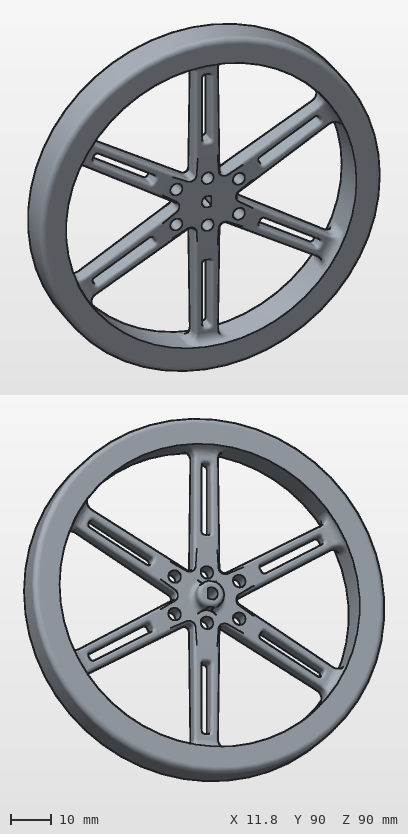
import cadquery as cq
import math

OUTER_RADIUS = 45.0
RIM_INNER_RADIUS = 38.3
RIM_WIDTH = 10.0
TREAD_ROUND = 1.4
MID_X = RIM_WIDTH / 2

SPOKE_COUNT = 6
SPOKE_ANGLE = 360 / SPOKE_COUNT
HUB_FLAT_RADIUS = 12.6
HUB_THICKNESS = 5.1
SPOKE_TIP_RADIUS = 41.4
SPOKE_TIP_THICKNESS = 4.4
SPOKE_ROOT_HALF_WIDTH = 3.3
SPOKE_TIP_HALF_WIDTH = 3.1
EDGE_ROUND = 0.765
CROTCH_ROUND = 1.2
FOOT_ROUND = 2.25

SLOT_START_RADIUS = 16.1
SLOT_END_RADIUS = 34.4
SLOT_START_HALF_WIDTH = 1.2
SLOT_END_HALF_WIDTH = 1.1
SLOT_CORNER_ROUND = 0.7

BOSS_RADIUS = 3.4
BOSS_PROTRUSION = 1.8
BOSS_TOP_ROUND = 1.1
BOSS_BASE_ROUND = 1.4
BORE_RADIUS = 1.5
BORE_FLAT_OFFSET = 1.0

HOLE_DIAMETER = 3.15
SIDE_HOLE_RADIUS = 9.5
VERTICAL_HOLE_RADIUS = 6.4
SCREW_HEAD_CLEARANCE = 3.15

HUB_FACE_X = MID_X - HUB_THICKNESS / 2
SPOKE_TAPER_LENGTH = SPOKE_TIP_RADIUS - HUB_FLAT_RADIUS
FIT_TOLERANCE = 0.01


def point_at(radius, angle):
    """(y, z) point at a radius and an angle in degrees from the +Y axis."""
    radians = math.radians(angle)
    return radius * math.cos(radians), radius * math.sin(radians)


VERTICAL_ANGLES = (90, 270)
SPOKE_ANGLES = [VERTICAL_ANGLES[0] + index * SPOKE_ANGLE for index in range(SPOKE_COUNT)]
VERTICAL_HOLES = [point_at(VERTICAL_HOLE_RADIUS, angle) for angle in VERTICAL_ANGLES]
SIDE_HOLES = [point_at(SIDE_HOLE_RADIUS, angle) for angle in SPOKE_ANGLES if angle not in VERTICAL_ANGLES]


def revolve_about_x(outline):
    """Revolve a closed (x, radius) outline about the wheel axis."""
    return outline.close().revolve(360, (0, 0, 0), (1, 0, 0))


def interpolate_along_spoke(root_value, tip_value, radius):
    """Value at a radius, changing evenly from the hub flat edge to the spoke tip."""
    return root_value + (tip_value - root_value) * (radius - HUB_FLAT_RADIUS) / SPOKE_TAPER_LENGTH


def tapered_bar(start_radius, end_radius, start_half_width, end_half_width):
    """Bar along +Z through the full rim width, seen as a trapezoid along X."""
    corners = [
        (-start_half_width, start_radius),
        (start_half_width, start_radius),
        (end_half_width, end_radius),
        (-end_half_width, end_radius),
    ]
    return cq.Workplane("YZ").polyline(corners).close().extrude(RIM_WIDTH)


def repeat_on_spokes(body):
    """Copies of a body made for the +Z spoke, one on every spoke."""
    copies = cq.Workplane("YZ")
    for index in range(SPOKE_COUNT):
        copies = copies.add(body.rotate((0, 0, 0), (1, 0, 0), index * SPOKE_ANGLE))
    return copies.combine()


def make_rim():
    """Plain ring with both outer edges rounded."""
    ring = cq.Workplane("YZ").circle(OUTER_RADIUS).circle(RIM_INNER_RADIUS).extrude(RIM_WIDTH)
    return ring.edges(cq.selectors.RadiusNthSelector(-1)).fillet(TREAD_ROUND)


def make_spider():
    """Spokes joined at the hub, with slots and rounded edges."""
    centre_half_width = interpolate_along_spoke(SPOKE_ROOT_HALF_WIDTH, SPOKE_TIP_HALF_WIDTH, 0)
    bar = tapered_bar(0, SPOKE_TIP_RADIUS, centre_half_width, SPOKE_TIP_HALF_WIDTH)
    star = repeat_on_spokes(bar)
    crotch_zone = cq.selectors.BoxSelector(
        (-RIM_WIDTH, -HUB_FLAT_RADIUS, -HUB_FLAT_RADIUS),
        (2 * RIM_WIDTH, HUB_FLAT_RADIUS, HUB_FLAT_RADIUS),
    )
    star = star.edges("|X").edges(crotch_zone).fillet(CROTCH_ROUND)

    slot = tapered_bar(SLOT_START_RADIUS, SLOT_END_RADIUS, SLOT_START_HALF_WIDTH, SLOT_END_HALF_WIDTH)
    star = star.cut(repeat_on_spokes(slot.edges("|X").fillet(SLOT_CORNER_ROUND)))

    centre_half_thickness = interpolate_along_spoke(HUB_THICKNESS, SPOKE_TIP_THICKNESS, 0) / 2
    tip_half_thickness = SPOKE_TIP_THICKNESS / 2
    envelope = revolve_about_x(
        cq.Workplane("XY")
        .moveTo(MID_X - centre_half_thickness, 0)
        .lineTo(MID_X - tip_half_thickness, SPOKE_TIP_RADIUS)
        .lineTo(MID_X + tip_half_thickness, SPOKE_TIP_RADIUS)
        .lineTo(MID_X + centre_half_thickness, 0)
    )
    star = star.intersect(envelope)
    star = star.faces("%CONE").edges().fillet(EDGE_ROUND)
    for start_x in (HUB_FACE_X - HUB_THICKNESS, HUB_FACE_X + HUB_THICKNESS):
        excess = cq.Workplane("YZ").workplane(offset=start_x).circle(OUTER_RADIUS).extrude(HUB_THICKNESS)
        star = star.cut(excess)
    return star


def is_spoke_foot(edge):
    """True for edges where a spoke side or face meets the inside of the rim."""
    if edge.Length() > RIM_WIDTH - FIT_TOLERANCE:
        return False
    middle = edge.positionAt(0.5)
    on_rim_bore = abs(math.hypot(middle.y, middle.z) - RIM_INNER_RADIUS) < FIT_TOLERANCE
    return on_rim_bore and FIT_TOLERANCE < middle.x < RIM_WIDTH - FIT_TOLERANCE


def make_boss():
    """Boss with a rounded top and a flared base."""
    flare_x = HUB_FACE_X - BOSS_BASE_ROUND
    base_radius = BOSS_RADIUS + BOSS_BASE_ROUND
    diagonal = math.sqrt(0.5)
    boss = revolve_about_x(
        cq.Workplane("XY")
        .moveTo(-BOSS_PROTRUSION, 0)
        .lineTo(-BOSS_PROTRUSION, BOSS_RADIUS - BOSS_TOP_ROUND)
        .threePointArc(
            (
                -BOSS_PROTRUSION + BOSS_TOP_ROUND * (1 - diagonal),
                BOSS_RADIUS - BOSS_TOP_ROUND * (1 - diagonal),
            ),
            (-BOSS_PROTRUSION + BOSS_TOP_ROUND, BOSS_RADIUS),
        )
        .lineTo(flare_x, BOSS_RADIUS)
        .threePointArc(
            (flare_x + BOSS_BASE_ROUND * diagonal, base_radius - BOSS_BASE_ROUND * diagonal),
            (HUB_FACE_X, base_radius),
        )
        .lineTo(MID_X, base_radius)
        .lineTo(MID_X, 0)
    )
    clearance = (
        cq.Workplane("YZ")
        .workplane(offset=HUB_FACE_X)
        .pushPoints(VERTICAL_HOLES)
        .circle(SCREW_HEAD_CLEARANCE)
        .extrude(-BOSS_PROTRUSION - HUB_FACE_X)
    )
    return boss.cut(clearance)


def through_pins(points, radius):
    """Round pins along X at the given (y, z) points, long enough to pass through hub and boss."""
    return (
        cq.Workplane("YZ")
        .workplane(offset=-BOSS_PROTRUSION)
        .pushPoints(points)
        .circle(radius)
        .extrude(BOSS_PROTRUSION + RIM_WIDTH)
    )


def make_shaft():
    """Round shaft with one flat, matching the bore."""
    flat_length = 2 * (BOSS_PROTRUSION + RIM_WIDTH)
    beyond_flat = cq.Workplane("XY").box(
        flat_length, BORE_RADIUS, 2 * BORE_RADIUS, centered=(True, False, True)
    )
    return through_pins([(0, 0)], BORE_RADIUS).cut(beyond_flat.translate((0, BORE_FLAT_OFFSET, 0)))


wheel = make_rim().union(make_spider())
foot_edges = [edge for edge in wheel.edges().vals() if is_spoke_foot(edge)]
wheel = wheel.newObject(foot_edges).fillet(FOOT_ROUND)
wheel = wheel.union(make_boss())
wheel = wheel.cut(through_pins(VERTICAL_HOLES + SIDE_HOLES, HOLE_DIAMETER / 2))
result = wheel.cut(make_shaft())